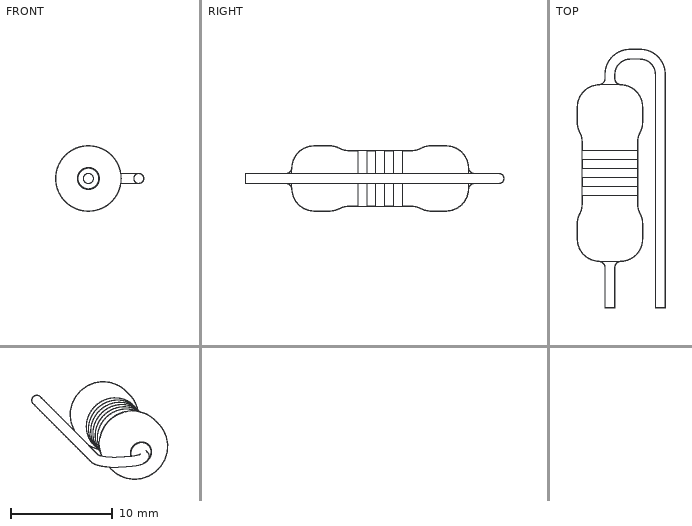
import cadquery as cq
import math

lead_diameter = 1.0
lead_pitch = 5.0
total_length = 25.6
bend_radius = 2.0

cap_diameter = 6.5
neck_diameter = 5.53
band_diameter = 5.55
body_length = 17.5
body_center_y = 13.35
cap_round = 2.23
flare_radius = 0.6
cap_neck_end = 5.0
neck_half_length = 3.1
band_sections = 7

lead_radius = lead_diameter / 2
cap_radius = cap_diameter / 2
neck_radius = neck_diameter / 2
half_body = body_length / 2
lead_start = half_body + flare_radius
bend_top_y = total_length - lead_radius
bend_start_y = bend_top_y - bend_radius
section_length = 2 * neck_half_length / band_sections
arc_middle = math.sqrt(0.5)

blend_middle = (cap_neck_end + neck_half_length) / 2
blend_mid_radius = (cap_radius + neck_radius) / 2
blend_half_length = blend_middle - neck_half_length
blend_half_rise = blend_mid_radius - neck_radius
blend_radius = (blend_half_length**2 + blend_half_rise**2) / (2 * blend_half_rise)


def make_half_body():
    """Revolved half body, from the middle of the neck out to the +Y lead."""
    round_center = (cap_radius - cap_round, half_body - cap_round)
    round_middle = (
        round_center[0] + cap_round * arc_middle,
        round_center[1] + cap_round * arc_middle,
    )
    flare_foot = lead_radius + flare_radius
    flare_middle = (
        flare_foot - flare_radius * arc_middle,
        lead_start - flare_radius * arc_middle,
    )
    return (
        cq.Workplane("XY")
        .lineTo(neck_radius, 0)
        .lineTo(neck_radius, neck_half_length)
        .radiusArc((blend_mid_radius, blend_middle), blend_radius)
        .radiusArc((cap_radius, cap_neck_end), -blend_radius)
        .lineTo(cap_radius, round_center[1])
        .threePointArc(round_middle, (round_center[0], half_body))
        .lineTo(flare_foot, half_body)
        .threePointArc(flare_middle, (lead_radius, lead_start))
        .lineTo(0, lead_start)
        .close()
        .revolve(360, (0, 0, 0), (0, 1, 0))
    )


def make_body():
    half = make_half_body()
    body = half.union(half.mirror("XZ"))
    for index in range(1, band_sections, 2):
        band_start = -neck_half_length + index * section_length
        band = (
            cq.Workplane("XZ", origin=(0, band_start, 0))
            .circle(band_diameter / 2)
            .extrude(-section_length)
        )
        body = body.union(band)
    return body.translate((0, body_center_y, 0))


def make_straight_lead():
    return (
        cq.Workplane("XZ")
        .circle(lead_radius)
        .extrude(-body_center_y)
    )


def make_bent_lead():
    bend_offset = bend_radius * (1 - arc_middle)
    path = (
        cq.Workplane("XY")
        .moveTo(0, body_center_y)
        .lineTo(0, bend_start_y)
        .threePointArc((bend_offset, bend_top_y - bend_offset), (bend_radius, bend_top_y))
        .lineTo(lead_pitch - bend_radius, bend_top_y)
        .threePointArc(
            (lead_pitch - bend_offset, bend_top_y - bend_offset),
            (lead_pitch, bend_start_y),
        )
        .lineTo(lead_pitch, 0)
    )
    return (
        cq.Workplane("XZ", origin=(0, body_center_y, 0))
        .circle(lead_radius)
        .sweep(path)
    )


result = make_body().union(make_straight_lead()).union(make_bent_lead())